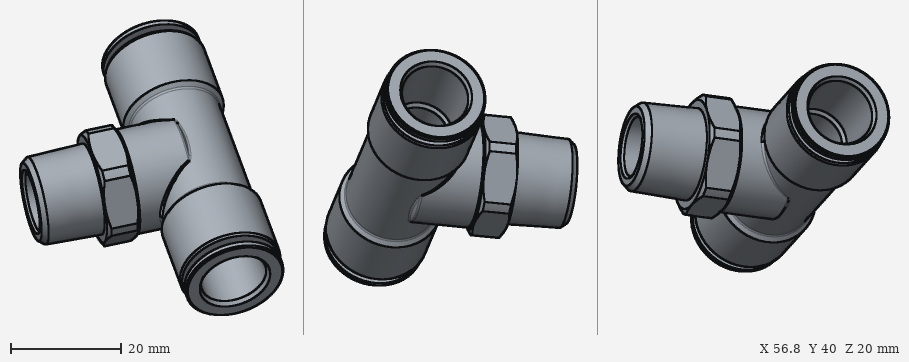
import cadquery as cq
import math

run_length = 56.8
run_radius = 8.5
collar_radius = 9.5
collar_start = 2.7
collar_nose_length = 0.5
collar_nose_height = 0.3
collar_end = 15.5
shoulder_angle = 45.0
collar_blend = 0.6
ring_radius = 9.2
ring_thickness = 1.25
ring_chamfer = 0.3
neck_radius = 6.7

bore_radius = 5.45
tube_bore_radius = 6.15
tube_mouth_radius = 6.65
tube_mouth_depth = 0.9
tube_bore_depth = 14.75

total_width = 40.0
branch_length = total_width - collar_radius
stub_radius = 9.7
stub_cone_start = 2.0
stub_cone_angle = 60.0
stub_core_radius = 7.95
stub_end = 12.6
stub_rounding = 0.4
spacer_radius = 9.55
hex_start = 12.9
hex_end = 18.95
hex_flats = 20.0
hex_corner_radius = 11.0
hex_chamfer_angle = 30.0
spigot_root_radius = 8.45
spigot_taper = 1 / 16
spigot_chamfer_length = 1.1
spigot_tip_radius = 7.25
spigot_mouth_chamfer = 0.5


def revolve_along_x(points):
    """Turn a closed (x, radius) outline about the X axis."""
    return cq.Workplane("XY").polyline(points).close().revolve(360, (0, 0, 0), (1, 0, 0))


def revolve_along_branch(points):
    """Turn a closed (radius, distance) outline about the branch axis, distance going to -Y."""
    outline = [(radius, -distance) for radius, distance in points]
    return cq.Workplane("XY").polyline(outline).close().revolve(360, (0, 0, 0), (0, 1, 0))


def make_run():
    return cq.Workplane("YZ").circle(run_radius).extrude(run_length / 2 - collar_end, both=True)


def make_stub():
    slope = math.tan(math.radians(stub_cone_angle))
    core_start = stub_cone_start - (stub_radius - stub_core_radius) / slope
    stub = revolve_along_branch([
        (0, core_start),
        (stub_core_radius, core_start),
        (stub_radius, stub_cone_start),
        (stub_radius, stub_end),
        (0, stub_end),
    ])
    widest_edges = stub.edges(cq.selectors.RadiusNthSelector(-1))
    return stub.newObject(widest_edges.edges(">Y").vals()).fillet(stub_rounding)


def make_tee():
    """Join run and stub, with a small blend along their seam."""
    tee = make_run().union(make_stub())
    return tee.edges("not(%LINE or %CIRCLE)").fillet(stub_rounding)


def make_collar():
    """Collar, neck and release ring at the -X end."""
    end = -run_length / 2
    shoulder_height = collar_radius - run_radius
    slope = math.radians(shoulder_angle)
    virtual_corner = end + collar_end + shoulder_height / math.tan(slope)
    blend_end = virtual_corner + collar_blend * math.tan(slope / 2)

    def blend_point(angle):
        return (
            blend_end - collar_blend * math.sin(angle),
            run_radius + collar_blend * (1 - math.cos(angle)),
        )

    return (
        cq.Workplane("XY")
        .moveTo(end, 0)
        .lineTo(end, ring_radius - ring_chamfer)
        .lineTo(end + ring_chamfer, ring_radius)
        .lineTo(end + ring_thickness, ring_radius)
        .lineTo(end + ring_thickness, neck_radius)
        .lineTo(end + collar_start, neck_radius)
        .lineTo(end + collar_start, collar_radius - collar_nose_height)
        .lineTo(end + collar_start + collar_nose_length, collar_radius)
        .lineTo(end + collar_end, collar_radius)
        .lineTo(*blend_point(slope))
        .threePointArc(blend_point(slope / 2), blend_point(0))
        .lineTo(blend_end, 0)
        .close()
        .revolve(360, (0, 0, 0), (1, 0, 0))
    )


def make_hex():
    """Hexagon with rounded corners and both faces chamfered."""
    flat_radius = hex_flats / 2
    corner_drop = (hex_corner_radius - flat_radius) * math.tan(math.radians(hex_chamfer_angle))
    corner_diameter = hex_flats / math.cos(math.pi / 6)
    hexagon = (
        cq.Workplane("XZ", origin=(0, -hex_start, 0))
        .polygon(6, corner_diameter)
        .extrude(hex_end - hex_start)
    )
    envelope = revolve_along_branch([
        (0, hex_start),
        (flat_radius, hex_start),
        (hex_corner_radius, hex_start + corner_drop),
        (hex_corner_radius, hex_end - corner_drop),
        (flat_radius, hex_end),
        (0, hex_end),
    ])
    return hexagon.intersect(envelope)


def make_spigot():
    """Spacer behind the hex and tapered spigot in front of it."""
    taper_end = branch_length - spigot_chamfer_length
    taper_end_radius = spigot_root_radius - (taper_end - hex_end) * spigot_taper / 2
    return revolve_along_branch([
        (0, stub_end),
        (spacer_radius, stub_end),
        (spacer_radius, hex_start),
        (spigot_root_radius, hex_start),
        (spigot_root_radius, hex_end),
        (taper_end_radius, taper_end),
        (spigot_tip_radius, branch_length),
        (0, branch_length),
    ])


def make_run_bore():
    """Through bore, widened at both ends for the tubes."""
    end = run_length / 2
    mouth = end - tube_mouth_depth
    stop = end - tube_bore_depth
    stop_cone = stop - (tube_bore_radius - bore_radius)
    half = [
        (stop_cone, bore_radius),
        (stop, tube_bore_radius),
        (mouth, tube_bore_radius),
        (end, tube_mouth_radius),
    ]
    mirrored = [(-x, radius) for x, radius in reversed(half)]
    return revolve_along_x([(-end, 0)] + mirrored + half + [(end, 0)])


def make_branch_bore():
    return revolve_along_branch([
        (0, 0),
        (bore_radius, 0),
        (bore_radius, branch_length - spigot_mouth_chamfer),
        (bore_radius + spigot_mouth_chamfer, branch_length),
        (0, branch_length),
    ])


collar = make_collar()
result = (
    make_tee()
    .union(collar)
    .union(collar.mirror("YZ"))
    .union(make_spigot())
    .union(make_hex())
    .cut(make_run_bore())
    .cut(make_branch_bore())
)